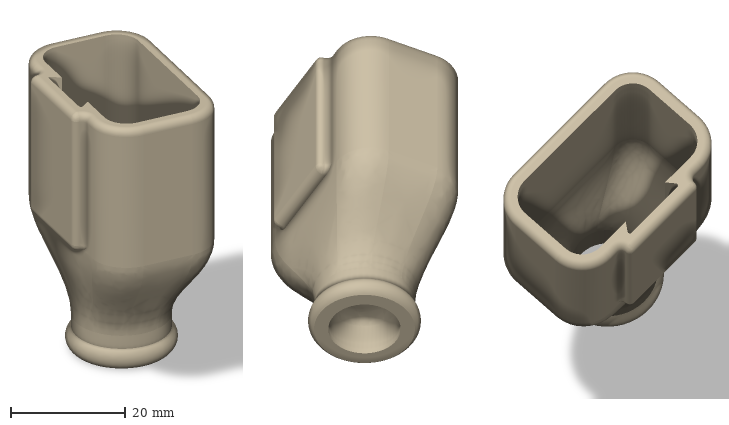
import cadquery as cq
import math

total_height = 52.63
body_length = 36.86
body_width = 23.2
body_corner_radius = 6.8
wall = 2.5
edge_radius = 1.35

ring_height = 3.88
neck_top = 6.47
body_bottom = 25.39
body_height = total_height - body_bottom

neck_radius = 8.85
ring_bulge = 1.05

corner_strip_angles = (20, 60)
transition_sections = 9

body_face_y = -body_width / 2
pad_front_y = -13.7
pad_half_width = neck_radius
pad_blend_radius = (body_face_y - pad_front_y) / 2
pad_root_y = body_face_y + wall

slot_mouth_y = body_face_y + wall
slot_floor_y = -11.27
slot_mouth_half_width = 5.05
slot_floor_half_width = 6.7
slot_corner_radius = 0.4
slot_bottom = body_bottom + wall


def quarter_points(inset):
    """Matching points of one quadrant on the body outline and on the neck circle.

    Both run from +X to +Y: side middle, corner start, corner middle, corner end,
    side middle.
    """
    half_length = body_length / 2 - inset
    half_width = body_width / 2 - inset
    corner = body_corner_radius - inset
    corner_sagitta = corner * (1 - math.sqrt(0.5))
    rectangle = [
        (half_length, 0),
        (half_length, half_width - corner),
        (half_length - corner_sagitta, half_width - corner_sagitta),
        (half_length - corner, half_width),
        (0, half_width),
    ]
    first, last = corner_strip_angles
    radius = neck_radius - inset
    angles = [math.radians(a) for a in (0, first, (first + last) / 2, last, 90)]
    circle = [(radius * math.cos(a), radius * math.sin(a)) for a in angles]
    return rectangle, circle


def transition_section(inset, t):
    """Closed section of the transition: the neck circle at t = 0, the body outline at t = 1."""
    blend = t * t * (3 - 2 * t)
    z = neck_top + t * (body_bottom - neck_top)
    quarter = []
    for (rect_x, rect_y), (circle_x, circle_y) in zip(*quarter_points(inset)):
        quarter.append((circle_x + blend * (rect_x - circle_x), circle_y + blend * (rect_y - circle_y)))

    half = quarter + [(-x, y) for x, y in reversed(quarter[:-1])]
    outline = half + [(-x, -y) for x, y in half[1:]]
    outline = [cq.Vector(x, y, z) for x, y in outline[1:] + outline[1:2]]

    edges = []
    for i in range(0, len(outline) - 1, 2):
        start, middle, end = outline[i:i + 3]
        is_corner = i % 4 == 0
        if t == 1 and not is_corner:
            edges.append(cq.Edge.makeLine(start, end))
        else:
            edges.append(cq.Edge.makeThreePointArc(start, middle, end))
    return cq.Wire.assembleEdges(edges)


def make_transition(inset):
    """Smooth change from the round neck to the rounded rectangle."""
    last = transition_sections - 1
    sections = [transition_section(inset, i / last) for i in range(transition_sections)]
    return cq.Workplane(cq.Solid.makeLoft(sections))


def make_body(inset):
    """Straight rounded-rectangle prism from the transition up to the rim."""
    return (
        cq.Workplane("XY", origin=(0, 0, body_bottom))
        .rect(body_length - 2 * inset, body_width - 2 * inset)
        .extrude(body_height)
        .edges("|Z")
        .fillet(body_corner_radius - inset)
    )


def make_outlet():
    """Neck with the bulged ring at its end."""
    return (
        cq.Workplane("XZ")
        .lineTo(neck_radius, 0)
        .threePointArc((neck_radius + ring_bulge, ring_height / 2), (neck_radius, ring_height))
        .lineTo(neck_radius, neck_top)
        .lineTo(0, neck_top)
        .close()
        .revolve()
    )


def make_pad():
    """Raised pad whose sides flare into the body face, with a rounded lower edge."""
    r = pad_blend_radius
    step_y = body_face_y - r
    flare_x = pad_half_width + r
    flat_x = pad_half_width - r
    pad = (
        cq.Workplane("XY", origin=(0, 0, body_bottom))
        .moveTo(-flare_x, pad_root_y)
        .lineTo(-flare_x, body_face_y)
        .radiusArc((-pad_half_width, step_y), r)
        .radiusArc((-flat_x, pad_front_y), -r)
        .lineTo(flat_x, pad_front_y)
        .radiusArc((pad_half_width, step_y), -r)
        .radiusArc((flare_x, body_face_y), r)
        .lineTo(flare_x, pad_root_y)
        .close()
        .extrude(body_height)
    )
    front_of_body = cq.selectors.BoxSelector(
        (-flare_x, body_face_y, 0), (flare_x, pad_front_y - r, total_height)
    )
    return pad.faces("<Z").edges(front_of_body).fillet(edge_radius)


def make_cavity():
    """Hollow that follows the outside at one wall thickness, with a plain round bore."""
    bore = cq.Workplane("XY").circle(neck_radius - wall).extrude(neck_top)
    return make_body(wall).union(make_transition(wall)).union(bore)


def make_slot():
    """Dovetail slot that is open at the rim and towards the cavity."""
    inner_y = slot_mouth_y + wall
    return (
        cq.Workplane("XY", origin=(0, 0, slot_bottom))
        .polyline([
            (-slot_mouth_half_width, inner_y),
            (-slot_mouth_half_width, slot_mouth_y),
            (-slot_floor_half_width, slot_floor_y),
            (slot_floor_half_width, slot_floor_y),
            (slot_mouth_half_width, slot_mouth_y),
            (slot_mouth_half_width, inner_y),
        ])
        .close()
        .extrude(total_height - slot_bottom)
        .edges("|Z and <Y")
        .fillet(slot_corner_radius)
    )


upper = make_body(0).union(make_pad()).faces(">Z").edges().fillet(edge_radius)
outside = upper.union(make_transition(0)).union(make_outlet())
result = outside.cut(make_cavity()).cut(make_slot())